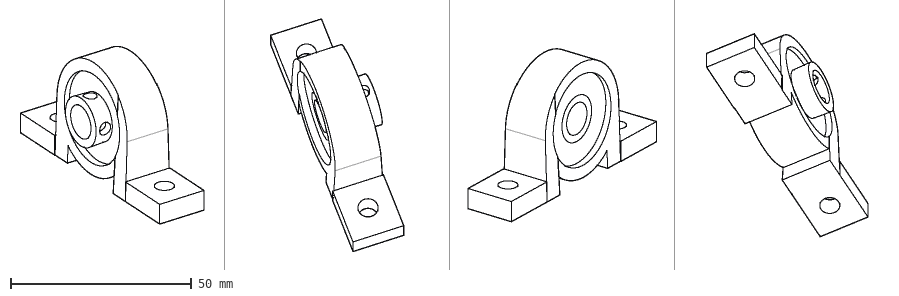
import cadquery as cq
import math

overall_depth = 18.1

base_length = 67.85
base_depth = 15.0
foot_height = 6.2
foot_hole_diameter = 5.55
foot_hole_offset = 25.4

housing_height = 35.75
housing_radius = 17.2
axis_height = housing_height - housing_radius
leg_inner_offset = 11.2
face_draft = math.radians(1.8)
leg_draft = math.radians(2.0)
leg_step = 0.15

disc_radius = 13.6
disc_thickness = 10.05

sleeve_tip_y = base_depth / 2 - overall_depth
sleeve_length = disc_thickness / 2 - sleeve_tip_y
sleeve_tip_radius = 7.45
sleeve_draft = math.radians(2.0)
sleeve_back_radius = sleeve_tip_radius - sleeve_length * math.tan(sleeve_draft)
bore_tip_radius = 4.95
bore_back_radius = 4.75
screw_hole_diameter = 3.8
screw_hole_y = -base_depth / 2


def y_cylinder(radius, length):
    """Cylinder on the bearing axis, centred in the depth of the housing."""
    axis_start = cq.Vector(0, -length / 2, axis_height)
    return cq.Workplane(cq.Solid.makeCylinder(radius, length, axis_start, cq.Vector(0, 1, 0)))


def y_cone(tip_radius, back_radius):
    """Cone on the bearing axis, from the sleeve tip to the back of the disc."""
    axis_start = cq.Vector(0, sleeve_tip_y, axis_height)
    return cq.Workplane(
        cq.Solid.makeCone(tip_radius, back_radius, sleeve_length, axis_start, cq.Vector(0, 1, 0))
    )


def drafted_slab(bottom_half_depth):
    """Slab across the full length whose front and back faces lean inward going up."""
    top_half_depth = bottom_half_depth - housing_height * math.tan(face_draft)
    return (
        cq.Workplane("YZ")
        .moveTo(-bottom_half_depth, 0)
        .lineTo(bottom_half_depth, 0)
        .lineTo(top_half_depth, housing_height)
        .lineTo(-top_half_depth, housing_height)
        .close()
        .extrude(base_length / 2, both=True)
    )


def leg_region():
    """Space beyond the leaning inner face of the +X leg."""
    lean = housing_height * math.tan(leg_draft)
    return (
        cq.Workplane("XZ")
        .moveTo(leg_inner_offset, 0)
        .lineTo(housing_radius, 0)
        .lineTo(housing_radius, housing_height)
        .lineTo(leg_inner_offset + lean, housing_height)
        .close()
        .extrude(base_depth / 2, both=True)
    )


def make_housing_blank():
    """Round ring and two legs, with drafted faces and the +X leg proud."""
    ring = y_cylinder(housing_radius, base_depth)
    leg_block = cq.Workplane("XY").box(
        2 * housing_radius, base_depth, axis_height, centered=(True, True, False)
    )
    leg_gap = (
        cq.Workplane("XZ")
        .moveTo(-leg_inner_offset, 0)
        .lineTo(leg_inner_offset, 0)
        .lineTo(leg_inner_offset + axis_height * math.tan(leg_draft), axis_height)
        .lineTo(-leg_inner_offset, axis_height)
        .close()
        .extrude(base_depth / 2, both=True)
    )
    outline = leg_block.cut(leg_gap).union(ring)
    main_part = outline.intersect(drafted_slab(base_depth / 2 - leg_step))
    proud_leg = outline.intersect(drafted_slab(base_depth / 2)).intersect(leg_region())
    return main_part.union(proud_leg)


def make_foot(side):
    """Flat foot with a mounting hole; side is -1 or +1 along X."""
    foot_length = base_length / 2 - housing_radius
    foot_center = side * (housing_radius + foot_length / 2)
    foot = cq.Workplane("XY").box(
        foot_length, base_depth, foot_height, centered=(True, True, False)
    )
    hole = (
        cq.Workplane("XY")
        .center(side * foot_hole_offset, 0)
        .circle(foot_hole_diameter / 2)
        .extrude(foot_height)
    )
    return foot.translate((foot_center, 0, 0)).cut(hole)


def make_housing():
    body = make_housing_blank()
    for side in (-1, 1):
        body = body.union(make_foot(side))
    return body.cut(y_cylinder(disc_radius, base_depth))


def make_disc():
    """Disc that fills the housing seat, with a tapered hole for the sleeve."""
    return y_cylinder(disc_radius, disc_thickness).cut(y_cone(sleeve_tip_radius, sleeve_back_radius))


def make_sleeve():
    """Tapered sleeve with set screw holes through its +Z and +X walls."""
    sleeve = y_cone(sleeve_tip_radius, sleeve_back_radius)
    sleeve = sleeve.cut(y_cone(bore_tip_radius, bore_back_radius))
    hole_start = cq.Vector(0, screw_hole_y, axis_height)
    for direction in (cq.Vector(0, 0, 1), cq.Vector(1, 0, 0)):
        hole = cq.Solid.makeCylinder(
            screw_hole_diameter / 2, sleeve_tip_radius, hole_start, direction
        )
        sleeve = sleeve.cut(cq.Workplane(hole))
    return sleeve


housing = make_housing()
disc = make_disc()
sleeve = make_sleeve()

result = cq.Compound.makeCompound([housing.val(), disc.val(), sleeve.val()])